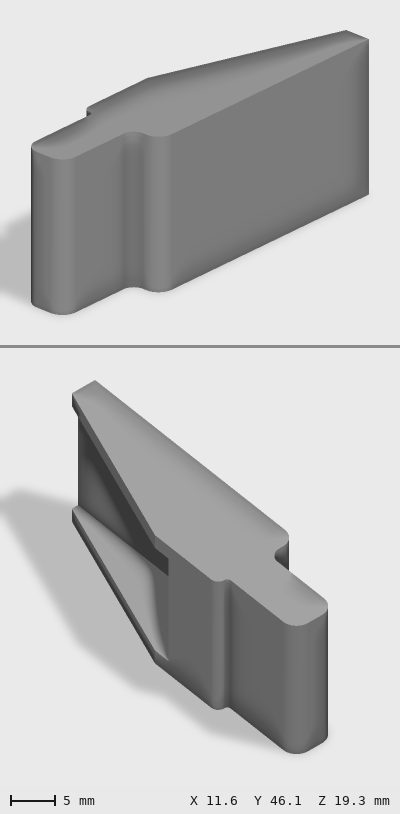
import cadquery as cq

width = 11.6
length = 46.1
height = 19.3

tip_width = 3.4
taper_length = 23.93

stem_length = 11.5
stem_width = 6.0
left_step = 1.55
stem_end_radius = 2.0

left_shoulder_radius = 1.0
left_root_radius = 0.5
right_shoulder_radius = 2.0
right_root_radius = 1.5

pocket_length = 26.25
flange_thickness = 1.95
web_thickness = 2.5

stem_right = left_step + stem_width


def make_body():
    """Extrude the plan outline, with its lower left corner at the origin."""
    outline = [
        (left_step, 0),
        (stem_right, 0),
        (stem_right, stem_length),
        (width, stem_length),
        (width, length),
        (width - tip_width, length),
        (0, length - taper_length),
        (0, stem_length),
        (left_step, stem_length),
    ]
    return cq.Workplane("XY").polyline(outline).close().extrude(height)


def round_upright_edge(body, x, y, radius):
    """Fillet the full-height edge standing at (x, y)."""
    edge = cq.selectors.NearestToPointSelector((x, y, height / 2))
    return body.edges("|Z").edges(edge).fillet(radius)


def make_pocket():
    """Block that leaves a web on the +X side and a flange above and below."""
    return cq.Workplane("XY").box(
        width - web_thickness,
        pocket_length,
        height - 2 * flange_thickness,
        centered=False,
    ).translate((0, length - pocket_length, flange_thickness))


rounded_corners = [
    (left_step, 0, stem_end_radius),
    (stem_right, 0, stem_end_radius),
    (0, stem_length, left_shoulder_radius),
    (left_step, stem_length, left_root_radius),
    (width, stem_length, right_shoulder_radius),
    (stem_right, stem_length, right_root_radius),
]

body = make_body()
for corner_x, corner_y, corner_radius in rounded_corners:
    body = round_upright_edge(body, corner_x, corner_y, corner_radius)

result = body.cut(make_pocket())